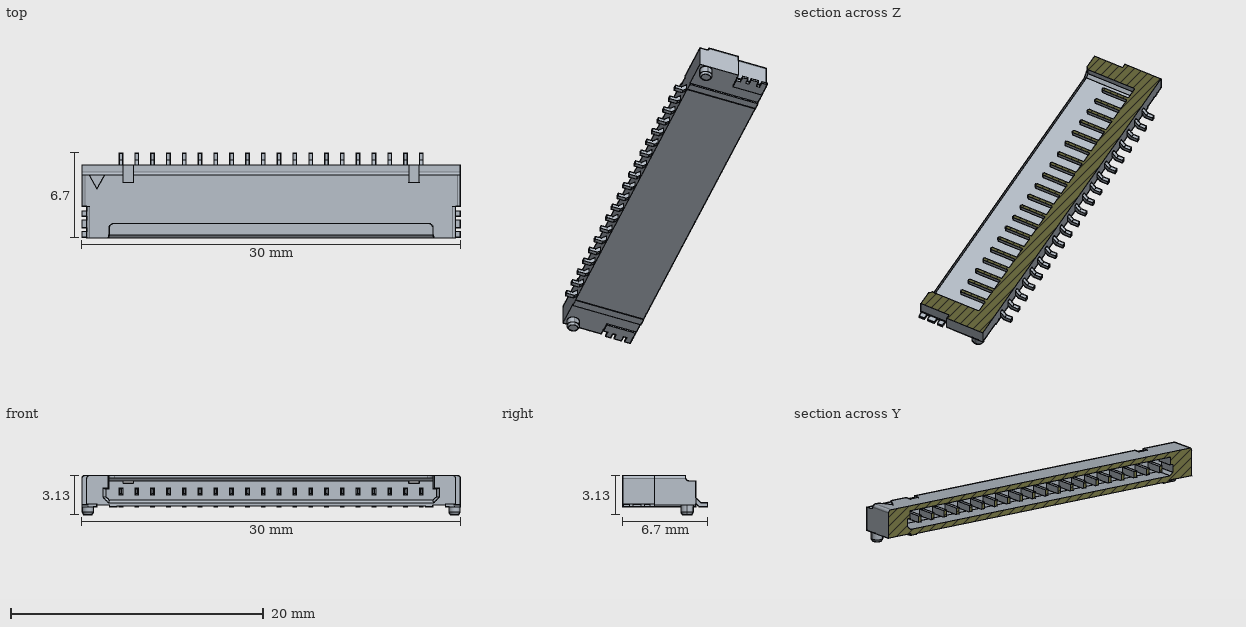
import cadquery as cq
import math


length = 29.95
depth = 5.78
height = 2.5
underside = 0.15
front_depth = 2.52
front_inset = 0.4
front_length = length - 2 * front_inset
edge_radius = 0.25
ledge_height = 2.07
ledge_start = 5.25
ledge_fillet = 0.27
roof_back = ledge_start - ledge_fillet

strip_length = 25.58
strip_bottom = 0.05
strip_foot_length = 0.6

cavity_depth = 4.4
cavity_floor = 0.55
cavity_roof = 2.05
groove_top = 1.4
groove_bottom = 0.78
upper_half_width = 12.82
groove_half_width = 13.05
floor_half_width = 12.8
mouth_chamfer = 0.25
mouth_upper_flare = 0.1
mouth_corner_shift = 0.05

roof_cutback = 1.17
roof_cut_radius = 0.45
roof_chamfer = 0.25

window_width = 0.8
window_offset = 11.3
window_floor = 1.9

mark_width = 1.2
mark_x = -13.78
mark_tip = 3.9
mark_depth = 0.1

contact_count = 20
contact_span = 23.75
contact_pitch = contact_span / (contact_count - 1)
contact_width = 0.3
contact_bottom = 0.95
contact_top = 1.5
contact_tip = 2.15
contact_tip_chamfer = 0.1
lead_end = 6.7
lead_thickness = 0.33
lead_bend_start = 6.05
lead_angle = math.radians(45)
lead_root_depth = 0.3

tab_inner = 13.78
tab_setback = 0.05
tab_thickness = 0.25
tab_outer = 14.5
tab_finger_thickness = 0.18
tab_fingers = [(0.05, 0.55), (0.8, 1.45), (1.7, 2.15)]

peg_x = 14.5
peg_y = 5.1
peg_width_x = 0.9
peg_length_y = 1.0
peg_drop = 0.63
peg_chamfer = 0.2
peg_chamfer_inset = 0.12


def box(x0, x1, y0, y1, z0, z1):
    """Axis-aligned block between two corners."""
    return cq.Workplane("XY").box(x1 - x0, y1 - y0, z1 - z0, centered=False).translate((x0, y0, z0))


def on_both_ends(shape):
    """The shape joined with its mirror image at the other end."""
    return shape.union(shape.mirror("YZ"))


def rounded_block(block_length, y0, y1):
    """Block with its two long top edges along Y rounded."""
    half = block_length / 2
    return box(-half, half, y0, y1, underside, height).edges("|Y and >Z").fillet(edge_radius)


def housing():
    body = rounded_block(front_length, 0, depth).union(rounded_block(length, front_depth, depth))
    fillet_diagonal = ledge_fillet * math.sqrt(0.5)
    fillet_centre_z = ledge_height + ledge_fillet
    rear_step = (
        cq.Workplane("YZ")
        .moveTo(depth, ledge_height)
        .lineTo(ledge_start, ledge_height)
        .threePointArc(
            (ledge_start - fillet_diagonal, fillet_centre_z - fillet_diagonal),
            (roof_back, fillet_centre_z),
        )
        .lineTo(roof_back, height)
        .lineTo(depth, height)
        .close()
        .extrude(length / 2, both=True)
    )
    half = strip_length / 2
    strip = box(-half, half, 0, depth, strip_bottom, underside)
    foot = box(-half, -half + strip_foot_length, 0, depth, 0, underside)
    return body.cut(rear_step).union(strip).union(on_both_ends(foot))


def mouth_outline(y, growth, corner_shift, upper_flare):
    """Mouth cross-section at a given Y, opened out at the groove and floor by growth."""
    upper = upper_half_width + upper_flare
    groove = groove_half_width + growth
    floor = floor_half_width + corner_shift
    groove_ceiling = groove_top + upper_flare
    right_side = [
        (floor, cavity_floor - growth),
        (groove, groove_bottom),
        (groove, groove_ceiling),
        (upper, groove_ceiling),
        (upper, cavity_roof),
    ]
    left_side = [(-x, z) for x, z in reversed(right_side)]
    return cq.Workplane("XZ", origin=(0, y, 0)).polyline(right_side + left_side).close()


def cavity():
    main = mouth_outline(0, 0, 0, 0).extrude(-cavity_depth)
    front_wire = mouth_outline(0, mouth_chamfer, mouth_corner_shift, mouth_upper_flare).val()
    inner_wire = mouth_outline(mouth_chamfer, 0, 0, 0).val()
    lead_in = cq.Workplane(cq.Solid.makeLoft([front_wire, inner_wire], True))
    return main.union(lead_in)


def roof_cut():
    """Opening in the roof above the mouth, with a bevel under its rear edge."""
    half = upper_half_width
    opening = box(-half, half, 0, roof_cutback, groove_top, height)
    opening = opening.edges("|Z and >Y").fillet(roof_cut_radius)
    flare = (
        cq.Workplane("XY", origin=(0, 0, groove_top))
        .polyline([
            (-half - mouth_upper_flare, 0),
            (half + mouth_upper_flare, 0),
            (half, mouth_chamfer),
            (-half, mouth_chamfer),
        ])
        .close()
        .extrude(height - groove_top)
    )
    edge_bevel = (
        cq.Workplane("YZ")
        .polyline([
            (0, cavity_roof),
            (0, cavity_roof + roof_chamfer),
            (roof_cutback, cavity_roof + roof_chamfer),
            (roof_cutback + roof_chamfer, cavity_roof),
        ])
        .close()
        .extrude(half, both=True)
    )
    return opening.union(flare).union(edge_bevel)


def windows():
    half = window_width / 2
    window = box(-half, half, cavity_depth, depth, window_floor, height)
    return on_both_ends(window.translate((-window_offset, 0, 0)))


def pin_one_mark():
    return (
        cq.Workplane("XY", origin=(mark_x, 0, height - mark_depth))
        .polyline([(-mark_width / 2, roof_back), (mark_width / 2, roof_back), (0, mark_tip)])
        .close()
        .extrude(mark_depth)
    )


def contact():
    """One contact: a blade in the cavity and a bent lead behind the housing."""
    half = contact_width / 2
    root = depth - lead_root_depth
    upper_bend = lead_bend_start + lead_thickness * math.tan(lead_angle / 2)
    blade = box(-half, half, contact_tip, root, contact_bottom, contact_top)
    blade = blade.faces("<Y").chamfer(contact_tip_chamfer)
    lead = (
        cq.Workplane("YZ")
        .polyline([
            (lead_end, 0),
            (lead_bend_start, 0),
            (root, (lead_bend_start - root) * math.tan(lead_angle)),
            (root, lead_thickness + (upper_bend - root) * math.tan(lead_angle)),
            (upper_bend, lead_thickness),
            (lead_end, lead_thickness),
        ])
        .close()
        .extrude(half, both=True)
    )
    return blade.union(lead)


def tab_recess():
    return box(-length / 2, -tab_inner, 0, front_depth, underside, tab_thickness)


def solder_tab():
    outer = -length / 2
    tab = box(-tab_outer, -tab_inner, tab_setback, front_depth, 0, tab_thickness)
    for start, end in tab_fingers:
        tab = tab.union(box(outer, -tab_inner, start, end, 0, tab_finger_thickness))
    return tab


def peg():
    """Oval peg, longer along Y, with a chamfered tip."""
    return (
        cq.Workplane("XY", origin=(-peg_x, peg_y, underside))
        .slot2D(peg_length_y, peg_width_x, 90)
        .extrude(-(underside + peg_drop))
        .faces("<Z")
        .chamfer(peg_chamfer, peg_chamfer_inset)
    )


result = housing().cut(cavity()).cut(roof_cut()).cut(windows()).cut(pin_one_mark())
result = result.cut(on_both_ends(tab_recess()))
for index in range(contact_count):
    result = result.union(contact().translate((index * contact_pitch - contact_span / 2, 0, 0)))
result = result.union(on_both_ends(solder_tab())).union(on_both_ends(peg()))